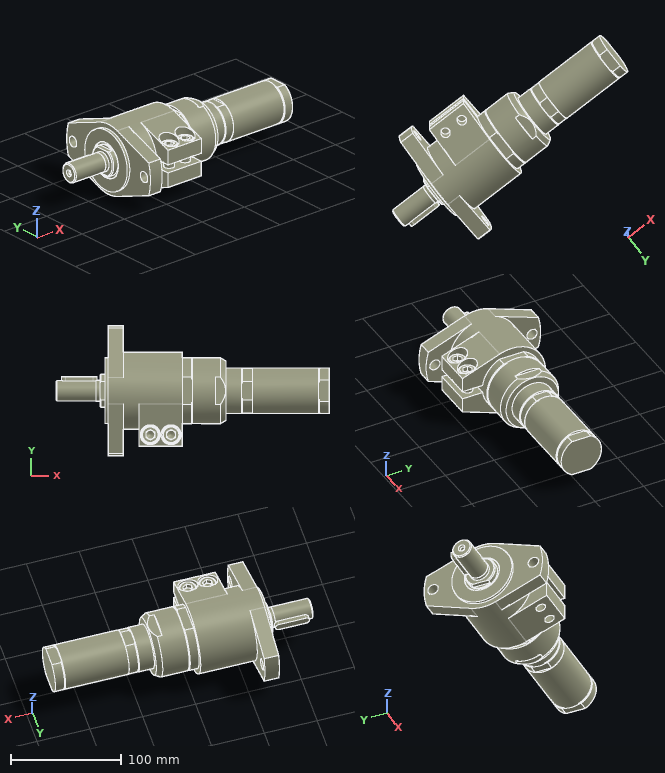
import cadquery as cq
import math

LENGTH = 247.5

SHAFT_DIA = 18.8
SHAFT_CHAMFER = 1.0
SHAFT_ROOT_START = 36.0
SHAFT_ROOT_DIA = 19.0
CENTER_HOLE_DIA = 4.2
CENTER_HOLE_DEPTH = 10.0
CENTER_SINK_DIA = 6.5
CENTER_SINK_ANGLE = 60
KEY_START = 4.7
KEY_END = 37.1
KEY_WIDTH = 7.5
KEY_TOP = 12.9

NUT_START = 39.5
NUT_DIA = 30.0
NUT_FLATS = 24.8
NUT_CHAMFER = 1.0

PILOT_START = 44.0
PILOT_DIA = 60.0
RECESS_DIA = 35.0
RECESS_DEPTH = 1.5
FLANGE_START = 47.0
FLANGE_END = 61.0
FLANGE_SPAN = 118.0
FLANGE_END_HEIGHT = 32.7
FLANGE_HOLE_DIA = 10.5
FLANGE_HOLE_SPACING = 100.0

BODY_DIA = 70.0
CLAMP_START = 75.0
CLAMP_END = 114.3
CLAMP_REACH = 50.5
CLAMP_SLOT = 8.0
BOLT_OFFSET = 39.8
BOLT_SPACING = 18.8
BOLT_DIA = 10.0
BOLT_HEAD_DIA = 16.0
BOLT_HEAD_TOP = 18.8
BOLT_SEAT = 9.0
BOLT_TIP = -8.0
COUNTERBORE_DIA = 18.0
SOCKET_FLATS = 8.2
SOCKET_DEPTH = 5.0
SOCKET_CONE_DEPTH = 2.5
BOLT_HEAD_CHAMFER = 1.0
THREAD_HOLE_DIA = 8.5

HOUSING_DIA = 60.0
HOUSING_FLATS = 54.5
HOUSING_FRONT_FLAT_END = 123.5
HOUSING_REAR_FLAT_START = 144.3
HOUSING_TAPER_START = 148.7
HOUSING_END = 154.0
HOUSING_END_DIA = 54.0
HOUSING_GROOVE_DIA = 58.5

TUBE_DIA = 41.5
TUBE_MID_DIA = 41.0
TUBE_MID_FLATS = 37.5
TUBE_MID_FLAT_START = 168.0
TUBE_MID_FLAT_END = 177.7
TUBE_END_FLATS = 37.0
TUBE_END_FLAT_START = 237.8
TUBE_GROOVE_DIA = 40.0

GROOVE_WIDTH = 0.7


def cylinder(start, end, diameter):
    """Cylinder on the X axis between two stations."""
    return cq.Workplane("YZ", origin=(start, 0, 0)).circle(diameter / 2).extrude(end - start)


def cut_flats(body, start, end, across):
    """Mill a pair of flats, above and below, between two stations."""
    for side in (1, -1):
        cutter = cq.Workplane("XY").box(end - start, BODY_DIA, BODY_DIA).translate(
            ((start + end) / 2, 0, side * (across + BODY_DIA) / 2)
        )
        body = body.cut(cutter)
    return body


def cut_groove(body, start, outer_diameter, floor_diameter):
    """Turn a narrow relief groove that begins at a station."""
    end = start + GROOVE_WIDTH
    ring = cylinder(start, end, outer_diameter).cut(cylinder(start, end, floor_diameter))
    return body.cut(ring)


corner_z = FLANGE_END_HEIGHT / 2
corner_y = math.sqrt((FLANGE_SPAN / 2) ** 2 - corner_z**2)
touch_angle = math.atan2(corner_z, corner_y) + math.acos(BODY_DIA / FLANGE_SPAN)
touch_y = BODY_DIA / 2 * math.cos(touch_angle)
touch_z = BODY_DIA / 2 * math.sin(touch_angle)
slope = (touch_z - corner_z) / (corner_y - touch_y)


def make_shaft():
    shaft = cylinder(0, SHAFT_ROOT_START, SHAFT_DIA).faces("<X").chamfer(SHAFT_CHAMFER)
    shaft = shaft.union(cylinder(SHAFT_ROOT_START, PILOT_START + RECESS_DEPTH, SHAFT_ROOT_DIA))
    key_length = KEY_END - KEY_START
    key = (
        cq.Workplane("XZ", origin=((KEY_START + KEY_END) / 2, 0, 0))
        .slot2D(key_length, KEY_WIDTH)
        .extrude(-KEY_TOP)
    )
    return shaft.union(key).faces("<X").workplane(origin=(0, 0, 0)).cskHole(
        CENTER_HOLE_DIA, CENTER_SINK_DIA, CENTER_SINK_ANGLE, CENTER_HOLE_DEPTH
    )


def make_nut():
    end = PILOT_START + RECESS_DEPTH
    nut = cylinder(NUT_START, end, NUT_DIA).faces("<X").chamfer(NUT_CHAMFER)
    return cut_flats(nut, NUT_START, PILOT_START, NUT_FLATS)


def make_flange():
    """Flange wings; the body cylinder rounds them off above and below."""
    plate = (
        cq.Workplane("YZ", origin=(FLANGE_START, 0, 0))
        .moveTo(touch_y, touch_z)
        .lineTo(corner_y, corner_z)
        .threePointArc((FLANGE_SPAN / 2, 0), (corner_y, -corner_z))
        .lineTo(touch_y, -touch_z)
        .lineTo(-touch_y, -touch_z)
        .lineTo(-corner_y, -corner_z)
        .threePointArc((-FLANGE_SPAN / 2, 0), (-corner_y, corner_z))
        .lineTo(-touch_y, touch_z)
        .close()
        .extrude(FLANGE_END - FLANGE_START)
    )
    holes = (
        cq.Workplane("YZ", origin=(FLANGE_START, 0, 0))
        .rarray(FLANGE_HOLE_SPACING, 2.5, 2, 1)
        .circle(FLANGE_HOLE_DIA / 2)
        .extrude(FLANGE_END - FLANGE_START)
    )
    pilot = cylinder(PILOT_START, FLANGE_START, PILOT_DIA)
    recess = cylinder(PILOT_START, PILOT_START + RECESS_DEPTH, RECESS_DIA)
    return plate.cut(holes).union(pilot).cut(recess)


def make_clamp():
    width = CLAMP_END - CLAMP_START
    middle = (CLAMP_START + CLAMP_END) / 2
    face_z = touch_z - slope * (CLAMP_REACH - touch_y)
    lug = (
        cq.Workplane("YZ", origin=(CLAMP_START, 0, 0))
        .polyline(
            [
                (-touch_y, touch_z),
                (-CLAMP_REACH, face_z),
                (-CLAMP_REACH, -face_z),
                (-touch_y, -touch_z),
            ]
        )
        .close()
        .extrude(width)
    )
    slot = (
        cq.Workplane("XY")
        .box(width, CLAMP_REACH, CLAMP_SLOT)
        .translate((middle, -CLAMP_REACH / 2, 0))
        .cut(cylinder(CLAMP_START, CLAMP_END, HOUSING_DIA))
    )
    clamp = cylinder(FLANGE_START, CLAMP_END, BODY_DIA).union(lug).cut(slot)
    for side in (-1, 1):
        clamp = fit_bolt(clamp, middle + side * BOLT_SPACING / 2)
    return clamp


def fit_bolt(clamp, x):
    """Sink a socket-head bolt into the lug at station x."""

    def column(bottom, top, diameter):
        return (
            cq.Workplane("XY", origin=(x, -BOLT_OFFSET, bottom))
            .circle(diameter / 2)
            .extrude(top - bottom)
        )

    socket = (
        cq.Workplane("XY", origin=(x, -BOLT_OFFSET, BOLT_HEAD_TOP))
        .polygon(6, SOCKET_FLATS, circumscribed=True)
        .extrude(-SOCKET_DEPTH)
    )
    socket_floor = BOLT_HEAD_TOP - SOCKET_DEPTH
    socket_tip = cq.Workplane(
        cq.Solid.makeCone(
            SOCKET_FLATS / 2,
            0,
            SOCKET_CONE_DEPTH,
            cq.Vector(x, -BOLT_OFFSET, socket_floor),
            cq.Vector(0, 0, -1),
        )
    )
    head = column(BOLT_SEAT, BOLT_HEAD_TOP, BOLT_HEAD_DIA).faces(">Z").chamfer(BOLT_HEAD_CHAMFER)
    return (
        clamp.cut(column(BOLT_SEAT, BODY_DIA / 2, COUNTERBORE_DIA))
        .cut(column(-BODY_DIA / 2, BOLT_TIP, THREAD_HOLE_DIA))
        .union(column(BOLT_TIP, BOLT_SEAT, BOLT_DIA))
        .union(head)
        .cut(socket)
        .cut(socket_tip)
    )


def make_housing():
    housing = cylinder(CLAMP_END, HOUSING_TAPER_START, HOUSING_DIA)
    taper = (
        cq.Workplane("YZ", origin=(HOUSING_TAPER_START, 0, 0))
        .circle(HOUSING_DIA / 2)
        .workplane(offset=HOUSING_END - HOUSING_TAPER_START)
        .circle(HOUSING_END_DIA / 2)
        .loft()
    )
    housing = housing.union(taper)
    housing = cut_flats(housing, CLAMP_END, HOUSING_FRONT_FLAT_END, HOUSING_FLATS)
    groove_start = HOUSING_FRONT_FLAT_END - GROOVE_WIDTH
    housing = cut_groove(housing, groove_start, HOUSING_DIA, HOUSING_GROOVE_DIA)
    return cut_flats(housing, HOUSING_REAR_FLAT_START, HOUSING_END, HOUSING_FLATS)


def make_tube():
    tube = cylinder(HOUSING_END, TUBE_MID_FLAT_START, TUBE_DIA)
    tube = tube.union(cylinder(TUBE_MID_FLAT_START, TUBE_MID_FLAT_END, TUBE_MID_DIA))
    tube = tube.union(cylinder(TUBE_MID_FLAT_END, LENGTH, TUBE_DIA))
    for start in (TUBE_MID_FLAT_START, TUBE_END_FLAT_START):
        tube = cut_groove(tube, start, TUBE_DIA, TUBE_GROOVE_DIA)
    tube = cut_flats(tube, TUBE_MID_FLAT_START, TUBE_MID_FLAT_END, TUBE_MID_FLATS)
    return cut_flats(tube, TUBE_END_FLAT_START, LENGTH, TUBE_END_FLATS)


result = make_flange()
for piece in (make_shaft(), make_nut(), make_clamp(), make_housing(), make_tube()):
    result = result.union(piece)